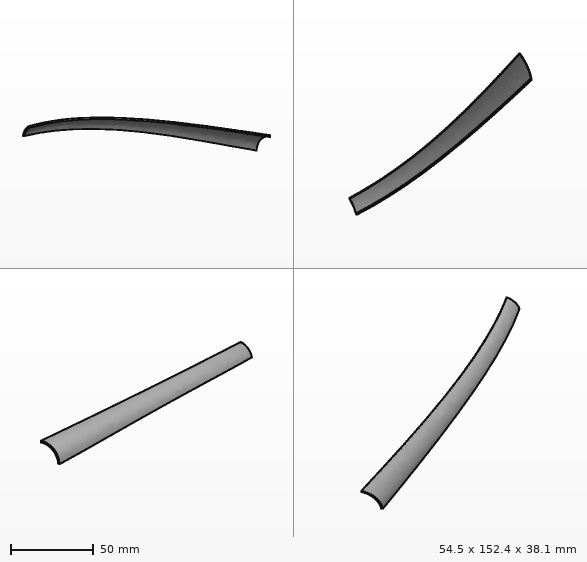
import cadquery as cq
import math

length = 152.4
wall = 1.2

stations = [
    (0.0, 29.5, 8.2, 38.0, 0.14),
    (3.2, 27.3, 11.9, 36.3, 0.16),
    (12.5, 20.9, 22.3, 30.5, 0.18),
    (25.8, 11.1, 37.2, 22.1, 0.2),
    (41.0, 0.0, 54.5, 12.5, 0.2),
]
spacing = length / (len(stations) - 1)


def section_wire(y, lower_x, lower_z, upper_x, upper_z, rise_ratio):
    """Closed arc strip at one Y, bulging toward -X and +Z on its outer side."""
    run = upper_x - lower_x
    climb = upper_z - lower_z
    crest_x = (lower_x + upper_x) / 2 - rise_ratio * climb
    crest_z = (lower_z + upper_z) / 2 + rise_ratio * run
    chord = math.hypot(run, climb)
    inward_x = wall * climb / chord
    inward_z = -wall * run / chord

    lower_outer = cq.Vector(lower_x, y, lower_z)
    upper_outer = cq.Vector(upper_x, y, upper_z)
    crest_outer = cq.Vector(crest_x, y, crest_z)
    lower_inner = cq.Vector(lower_x + wall, y, lower_z)
    upper_inner = cq.Vector(upper_x, y, upper_z - wall)
    crest_inner = cq.Vector(crest_x + inward_x, y, crest_z + inward_z)

    return cq.Wire.assembleEdges([
        cq.Edge.makeThreePointArc(lower_outer, crest_outer, upper_outer),
        cq.Edge.makeLine(upper_outer, upper_inner),
        cq.Edge.makeThreePointArc(upper_inner, crest_inner, lower_inner),
        cq.Edge.makeLine(lower_inner, lower_outer),
    ])


sections = [
    section_wire(index * spacing - length / 2, *station)
    for index, station in enumerate(stations)
]
result = cq.Workplane("XY").newObject([cq.Solid.makeLoft(sections)])